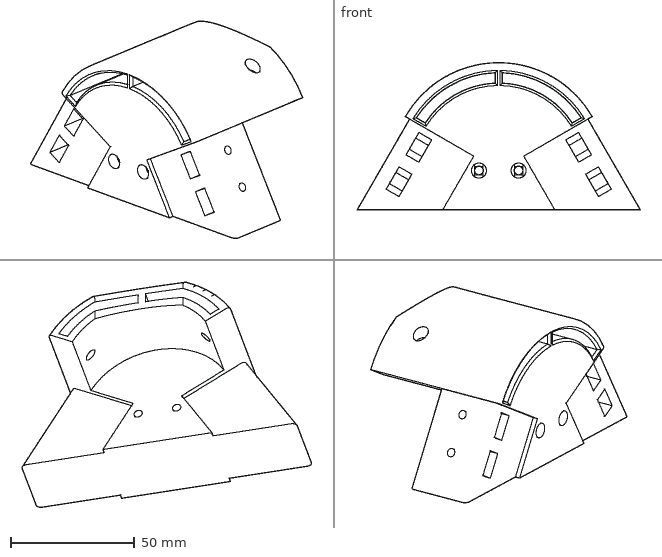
import cadquery as cq
import math

center_z = 16.0
cover_radius = 43.7
cover_inner_radius = 32.0
cover_length = 64.0
half_sweep = 60
edge_fillet = 2.0

saddle_radius = 35.9
saddle_depth = 5.0

slot_inner_radius = 35.5
slot_outer_radius = 39.6
slot_rib_width = 3.0
slot_end_wall = 1.8
slot_chamfer = 1.0

cover_hole_x = 24.0
cover_hole_y = 48.0

base_width = 114.8
plate_thickness = 32.0
leg_recess = 2.1
leg_turn = math.radians(half_sweep)
leg_inner_offset = 11.7
leg_outer_offset = base_width / 2 * math.sin(leg_turn) - center_z * math.cos(leg_turn)
leg_depth = plate_thickness - 2 * leg_recess

nut_places = (8.0, 24.1)
nut_width_across_corners = 10.5
nut_thickness = 6.0
nut_offset = 32.7

screw_diameter = 3.5
head_diameter = 6.1
plate_hole_x = 8.0
plate_head_depth = 5.0
step_depth = 0.3

CUT_MARGIN = 11.5
SIDES = (-1, 1)


def arch_point(radius, angle):
    """Point in the XZ plane; the angle is measured from the top, positive towards +X."""
    turn = math.radians(angle)
    return (radius * math.sin(turn), center_z + radius * math.cos(turn))


def leg_point(side, offset, along):
    """Point in the XZ plane: offset outwards from the arch centre, then along the leg."""
    x = offset * math.sin(leg_turn) + along * math.cos(leg_turn)
    z = center_z + offset * math.cos(leg_turn) - along * math.sin(leg_turn)
    return (side * x, z)


def leg_direction(side):
    """Unit vector down the length of a leg."""
    return cq.Vector(side * math.cos(leg_turn), 0, -math.sin(leg_turn))


def leg_outward(side):
    """Unit vector pointing squarely out of the outer face of a leg."""
    return cq.Vector(side * math.sin(leg_turn), 0, math.cos(leg_turn))


def leg_plane(side, offset, along):
    """Sketch plane parallel to the outer face of a leg, at mid thickness."""
    x, z = leg_point(side, offset, along)
    origin = (x, plate_thickness / 2, z)
    return cq.Workplane(cq.Plane(origin, leg_direction(side), leg_outward(side)))


def along_at_base(offset):
    """Distance along a leg at which a line with this offset meets the base plane."""
    return (center_z + offset * math.cos(leg_turn)) / math.sin(leg_turn)


def front_plane(y):
    """Sketch plane with X right and Z up, extruding towards +Y for negative depths."""
    return cq.Workplane("XZ", origin=(0, y, 0))


def make_slot(side):
    """Curved slot, open at both ends of the cover, between the rib and the end wall."""
    def rib_angle(radius):
        return side * math.degrees(math.asin(slot_rib_width / 2 / radius))

    def end_angle(radius):
        return side * (half_sweep - math.degrees(math.asin(slot_end_wall / radius)))

    middle_angle = side * half_sweep / 2
    return (
        front_plane(-CUT_MARGIN)
        .moveTo(*arch_point(slot_inner_radius, rib_angle(slot_inner_radius)))
        .threePointArc(
            arch_point(slot_inner_radius, middle_angle),
            arch_point(slot_inner_radius, end_angle(slot_inner_radius)),
        )
        .lineTo(*arch_point(slot_outer_radius, end_angle(slot_outer_radius)))
        .threePointArc(
            arch_point(slot_outer_radius, middle_angle),
            arch_point(slot_outer_radius, rib_angle(slot_outer_radius)),
        )
        .close()
        .extrude(-cover_length - 2 * CUT_MARGIN)
    )


def make_cover():
    """Arch with the saddle notch, rounded outer edges and two slots chamfered at the front."""
    cover = (
        front_plane(0)
        .moveTo(*arch_point(cover_radius, -half_sweep))
        .threePointArc(arch_point(cover_radius, 0), arch_point(cover_radius, half_sweep))
        .lineTo(*arch_point(cover_inner_radius, half_sweep))
        .threePointArc(arch_point(cover_inner_radius, 0), arch_point(cover_inner_radius, -half_sweep))
        .close()
        .extrude(-cover_length)
    )
    saddle = (
        cq.Workplane("XY")
        .center(0, cover_length - saddle_depth + saddle_radius)
        .circle(saddle_radius)
        .extrude(center_z + cover_radius + CUT_MARGIN)
    )
    cover = cover.cut(saddle)
    outer_face = cq.selectors.NearestToPointSelector((0, cover_length / 2, center_z + cover_radius))
    cover = cover.faces(outer_face).edges("%CIRCLE or %BSPLINE").fillet(edge_fillet)
    for side in SIDES:
        cover = cover.cut(make_slot(side))
    slot_edges = [edge for wire in cover.faces("<Y").val().innerWires() for edge in wire.Edges()]
    return cover.newObject(slot_edges).chamfer(slot_chamfer)


def make_plate():
    """Central plate: round top inside the cover wall, sides stepped in along the legs, flat base."""
    right_base = leg_point(1, leg_inner_offset, along_at_base(leg_inner_offset))
    left_base = leg_point(-1, leg_inner_offset, along_at_base(leg_inner_offset))
    plate_radius = (cover_inner_radius + slot_inner_radius) / 2
    return (
        front_plane(0)
        .moveTo(*left_base)
        .lineTo(*arch_point(leg_inner_offset, -half_sweep))
        .lineTo(*arch_point(plate_radius, -half_sweep))
        .threePointArc(arch_point(plate_radius, 0), arch_point(plate_radius, half_sweep))
        .lineTo(*arch_point(leg_inner_offset, half_sweep))
        .lineTo(*right_base)
        .close()
        .extrude(-plate_thickness)
    )


def make_leg(side):
    """Slanted leg with rounded outer edges, cut off at the base plane."""
    return (
        front_plane(leg_recess)
        .polyline([
            leg_point(side, leg_inner_offset, 0),
            leg_point(side, leg_outer_offset, 0),
            leg_point(side, leg_outer_offset, along_at_base(leg_outer_offset)),
            leg_point(side, leg_inner_offset, along_at_base(leg_inner_offset)),
        ])
        .close()
        .extrude(-leg_depth)
        .edges(cq.selectors.ParallelDirSelector(leg_direction(side)))
        .edges(">X" if side > 0 else "<X")
        .fillet(edge_fillet)
    )


def make_nut_cut(side, along):
    """Nut pocket open to the front of the leg, with a screw hole from the outer face."""
    nut_base = nut_offset - nut_thickness / 2
    nut_top = nut_offset + nut_thickness / 2
    half_width = nut_width_across_corners / 2
    nut = leg_plane(side, nut_base, along).polygon(6, nut_width_across_corners).extrude(nut_thickness)
    entry = (
        front_plane(0)
        .polyline([
            leg_point(side, nut_base, along - half_width),
            leg_point(side, nut_top, along - half_width),
            leg_point(side, nut_top, along + half_width),
            leg_point(side, nut_base, along + half_width),
        ])
        .close()
        .extrude(-plate_thickness / 2)
    )
    screw = (
        leg_plane(side, nut_offset, along)
        .circle(screw_diameter / 2)
        .extrude(leg_outer_offset - nut_offset + CUT_MARGIN)
    )
    return nut.union(entry).union(screw)


def make_cover_hole(side):
    """Vertical hole: screw size through the inner wall, head size through the outer wall."""
    slot_middle_radius = (slot_inner_radius + slot_outer_radius) / 2
    slot_middle_z = center_z + math.sqrt(slot_middle_radius ** 2 - cover_hole_x ** 2)
    top_z = center_z + cover_radius
    hole_center = (side * cover_hole_x, cover_hole_y)
    screw = cq.Workplane("XY").center(*hole_center).circle(screw_diameter / 2).extrude(top_z)
    head = (
        cq.Workplane("XY", origin=(0, 0, slot_middle_z))
        .center(*hole_center)
        .circle(head_diameter / 2)
        .extrude(top_z - slot_middle_z)
    )
    return screw.union(head)


def make_plate_hole(side):
    """Hole along Y: round head recess, then a flat-sided step, a square step and a screw hole."""
    step_y = plate_head_depth + step_depth
    square_y = step_y + step_depth
    center = (side * plate_hole_x, center_z)
    head = front_plane(0).center(*center).circle(head_diameter / 2).extrude(-plate_head_depth)
    step = (
        front_plane(0)
        .center(*center)
        .circle(head_diameter / 2)
        .extrude(-step_y)
        .intersect(front_plane(0).center(*center).rect(screw_diameter, head_diameter).extrude(-step_y))
    )
    square = front_plane(0).center(*center).rect(screw_diameter, screw_diameter).extrude(-square_y)
    screw = front_plane(0).center(*center).circle(screw_diameter / 2).extrude(-plate_thickness)
    return head.union(step).union(square).union(screw)


result = make_cover().union(make_plate())
for side in SIDES:
    result = result.union(make_leg(side))
for side in SIDES:
    result = result.cut(make_cover_hole(side)).cut(make_plate_hole(side))
    for along in nut_places:
        result = result.cut(make_nut_cut(side, along))